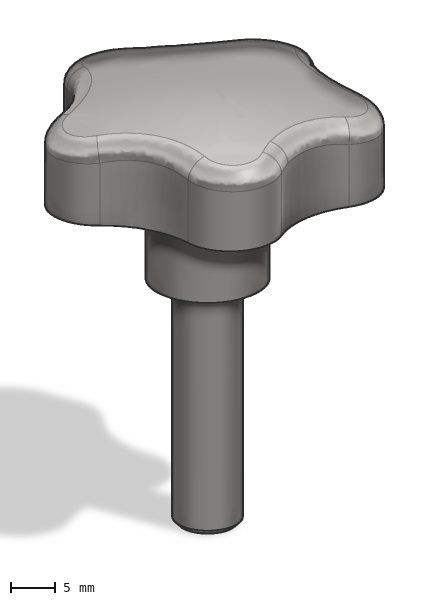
import cadquery as cq
import math

total_height = 54.0
head_height = 12.0
hub_height = 12.0
head_bottom = total_height - head_height
hub_bottom = head_bottom - hub_height

lobe_count = 5
lobe_radius = 6.0
lobe_center_radius = 14.0
hollow_radius = 12.0
dome_radius = 74.0
edge_fillet = 2.5

hub_diameter = 14.0
stud_diameter = 8.0
stud_chamfer = 0.7

half_pitch = math.pi / lobe_count
lobe_center_offset = lobe_center_radius * math.sin(half_pitch)
hollow_center_radius = lobe_center_radius * math.cos(half_pitch) + math.sqrt(
    (lobe_radius + hollow_radius) ** 2 - lobe_center_offset**2
)


def polar(radius, angle):
    return (radius * math.cos(angle), radius * math.sin(angle))


def tangent_point(lobe_angle, hollow_angle):
    """Point where a lobe arc meets a hollow arc, on the line between their centers."""
    lobe_x, lobe_y = polar(lobe_center_radius, lobe_angle)
    hollow_x, hollow_y = polar(hollow_center_radius, hollow_angle)
    share = lobe_radius / (lobe_radius + hollow_radius)
    return (lobe_x + share * (hollow_x - lobe_x), lobe_y + share * (hollow_y - lobe_y))


def star_prism():
    """Head blank with one lobe pointing towards -Y."""
    first_angle = -math.pi / 2
    outline = cq.Workplane("XY", origin=(0, 0, head_bottom))
    outline = outline.moveTo(*tangent_point(first_angle, first_angle - half_pitch))
    for index in range(lobe_count):
        lobe_angle = first_angle + 2 * half_pitch * index
        hollow_angle = lobe_angle + half_pitch
        next_lobe_angle = hollow_angle + half_pitch
        outline = outline.threePointArc(
            polar(lobe_center_radius + lobe_radius, lobe_angle),
            tangent_point(lobe_angle, hollow_angle),
        )
        outline = outline.threePointArc(
            polar(hollow_center_radius - hollow_radius, hollow_angle),
            tangent_point(next_lobe_angle, hollow_angle),
        )
    return outline.close().extrude(head_height)


def domed_head():
    """Star trimmed by a large sphere, with its upper rim rounded."""
    dome = cq.Workplane("XY", origin=(0, 0, total_height - dome_radius)).sphere(dome_radius)
    head = star_prism().intersect(dome)
    return head.faces(">Z").edges().fillet(edge_fillet)


hub = cq.Workplane("XY", origin=(0, 0, hub_bottom)).circle(hub_diameter / 2).extrude(hub_height)
stud = (
    cq.Workplane("XY")
    .circle(stud_diameter / 2)
    .extrude(hub_bottom)
    .faces("<Z")
    .chamfer(stud_chamfer)
)

result = domed_head().union(hub).union(stud)